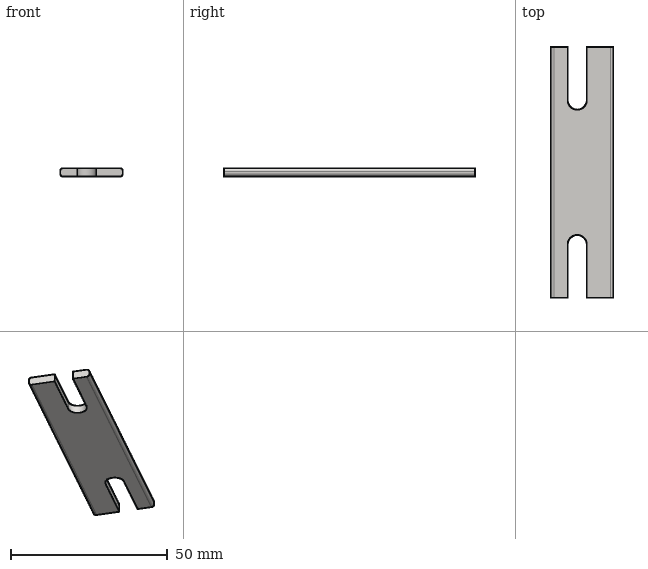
import cadquery as cq

length = 80.0
width = 20.0
thickness = 2.7
edge_radius = 1.0

slot_width = 6.0
slot_depth = 20.0
slot_offset_x = -1.5


def make_plate():
    """Flat bar with its four long edges rounded."""
    plate = cq.Workplane("XY").box(width, length, thickness)
    return plate.edges("|Y").fillet(edge_radius)


def make_slot(end):
    """Cutter for a round-bottomed slot open at the +Y (end=1) or -Y (end=-1) edge."""
    return (
        cq.Workplane("XY")
        .center(slot_offset_x, end * length / 2)
        .slot2D(2 * slot_depth, slot_width, 90)
        .extrude(thickness, both=True)
    )


result = make_plate()
for end in (-1, 1):
    result = result.cut(make_slot(end))